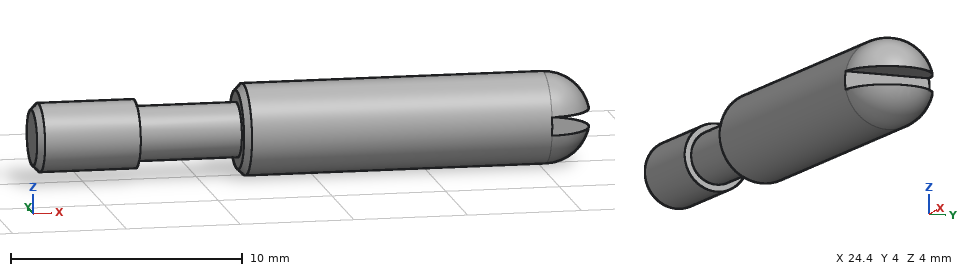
import cadquery as cq
import math

overall_length = 24.45
body_diameter = 4.0
head_diameter = 3.0
neck_diameter = 2.4
head_length = 4.5
neck_length = 4.5
chamfer = 0.3
slot_width = 0.8

body_radius = body_diameter / 2
head_radius = head_diameter / 2
neck_radius = neck_diameter / 2
dome_reach = math.sqrt(body_radius**2 - (slot_width / 2) ** 2)
dome_start = overall_length - dome_reach
dome_tip = dome_start + body_radius
body_start = head_length + neck_length
dome_mid_offset = body_radius * math.sqrt(0.5)


def turned_pin():
    """Revolve the half profile of head, neck, body and dome about the X axis."""
    profile = (
        cq.Workplane("XY")
        .moveTo(0, 0)
        .lineTo(0, head_radius - chamfer)
        .lineTo(chamfer, head_radius)
        .lineTo(head_length, head_radius)
        .lineTo(head_length, neck_radius)
        .lineTo(body_start, neck_radius)
        .lineTo(body_start, body_radius - chamfer)
        .lineTo(body_start + chamfer, body_radius)
        .lineTo(dome_start, body_radius)
        .threePointArc(
            (dome_start + dome_mid_offset, dome_mid_offset),
            (dome_tip, 0),
        )
        .close()
    )
    return profile.revolve(360, (0, 0, 0), (1, 0, 0))


def driver_slot():
    """Slot across the dome along Y, cut down to where the dome begins."""
    return (
        cq.Workplane("XY")
        .box(body_radius, body_diameter, slot_width, centered=(False, True, True))
        .translate((dome_start, 0, 0))
    )


result = turned_pin().cut(driver_slot())